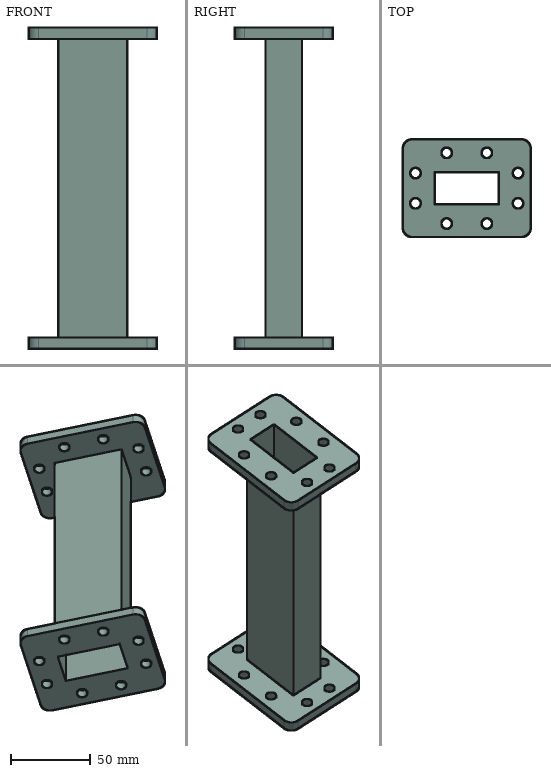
import cadquery as cq

total_length = 203.2
flange_width = 81.0
flange_depth = 62.0
flange_thickness = 7.3
corner_radius = 6.0

bore_width = 40.5
bore_depth = 20.1
wall = 1.6
tube_width = bore_width + 2 * wall
tube_depth = bore_depth + 2 * wall

hole_diameter = 6.5
long_edge_pair_spacing = 25.5
long_edge_row_spacing = 44.7
short_edge_pair_spacing = 19.0
short_edge_row_spacing = 64.8


def flange(bottom_z):
    """Drilled flange plate with rounded corners, its lower face at bottom_z."""
    plate = (
        cq.Workplane("XY")
        .workplane(offset=bottom_z)
        .rect(flange_width, flange_depth)
        .extrude(flange_thickness)
        .edges("|Z")
        .fillet(corner_radius)
    )
    hole_patterns = (
        (long_edge_pair_spacing, long_edge_row_spacing),
        (short_edge_row_spacing, short_edge_pair_spacing),
    )
    for spacing_x, spacing_y in hole_patterns:
        plate = (
            plate.faces(">Z")
            .workplane(origin=(0, 0, 0))
            .rect(spacing_x, spacing_y, forConstruction=True)
            .vertices()
            .hole(hole_diameter)
        )
    return plate


tube = cq.Workplane("XY").rect(tube_width, tube_depth).extrude(total_length)
bore = cq.Workplane("XY").rect(bore_width, bore_depth).extrude(total_length)

result = (
    tube.union(flange(0))
    .union(flange(total_length - flange_thickness))
    .cut(bore)
)